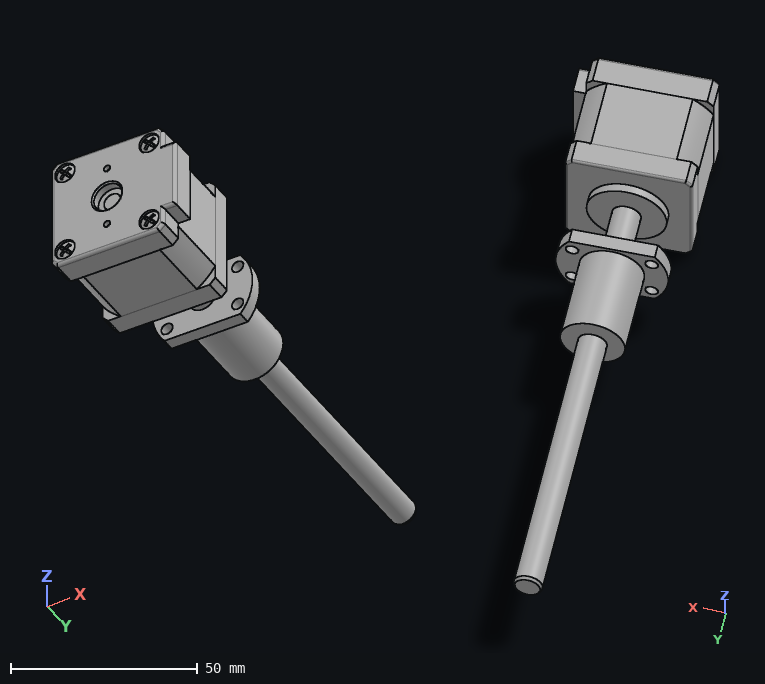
import cadquery as cq
import math


motor_width = 35.0
motor_length = 34.5
cover_length = 8.0
front_cap_length = 6.7
cover_corner_chamfer = 1.8
core_corner_radius = 21.0
rear_edge_round = 1.0
front_edge_round = 0.6
pilot_radius = 11.0
pilot_height = 2.4

tab_overhang = 3.7
tab_width = 21.4

rear_bore_radius = 4.3
rear_bore_depth = 2.9
rear_bore_chamfer = 0.5
small_hole_radius = 1.0
small_hole_depth = 1.6
small_hole_offset = 9.4

screw_offset = 13.0
screw_head_radius = 3.0
screw_head_height = 2.4
screw_dome_rise = 0.8
cross_length = 3.8
cross_width = 0.8
cross_depth = 1.3
cross_angle = 45

rod_radius = 4.0
rod_end = 159.6
rod_chamfer_length = 1.0
rod_chamfer_height = 0.5
journal_radius = 2.5

nut_start = 51.0
nut_length = 28.0
nut_radius = 9.0
flange_thickness = 4.0
flange_radius = 15.5
flange_height = 20.1
flange_hole_radius = 1.8
flange_hole_circle = 12.6
flange_hole_angle = 30

screw_places = [(z, x) for z in (-screw_offset, screw_offset) for x in (-screw_offset, screw_offset)]
tab_reach = motor_width / 2 + tab_overhang
core_end = motor_length - front_cap_length


def along_y(start):
    """Workplane at Y = start whose extrusions run toward +Y; its local axes are Z and X."""
    return cq.Workplane("ZX", origin=(0, start, 0))


def disc(radius, start, end):
    return along_y(start).circle(radius).extrude(end - start)


def square_block(start, end):
    return along_y(start).rect(motor_width, motor_width).extrude(end - start)


def cap(start, end):
    """Square end cap with chamfered corners."""
    return square_block(start, end).edges("|Y").chamfer(cover_corner_chamfer)


def make_rear_cover():
    tab = (
        along_y(0)
        .center(0, tab_reach / 2)
        .rect(tab_width, tab_reach)
        .extrude(cover_length)
    )
    cover = cap(0, cover_length).union(tab)
    cover = cover.faces("<Y").edges().fillet(rear_edge_round)
    bore = disc(rear_bore_radius, 0, rear_bore_depth)
    journal_hole = disc(journal_radius, rear_bore_depth, cover_length)
    cover = cover.cut(bore).cut(journal_hole)
    cover = cover.faces("<Y").edges("%CIRCLE").chamfer(rear_bore_chamfer)
    small_holes = (
        along_y(0)
        .pushPoints([(-small_hole_offset, 0), (small_hole_offset, 0)])
        .circle(small_hole_radius)
        .extrude(small_hole_depth)
    )
    screw_pockets = along_y(0).pushPoints(screw_places).circle(screw_head_radius).extrude(screw_head_height)
    return cover.cut(small_holes).cut(screw_pockets)


def make_motor_body():
    """Stator with the front cap and its pilot ring."""
    core = square_block(cover_length, core_end)
    core = core.intersect(disc(core_corner_radius, cover_length, core_end))
    front_cap = cap(core_end, motor_length).faces(">Y").edges().fillet(front_edge_round)
    pilot = disc(pilot_radius, motor_length, motor_length + pilot_height)
    front_cap = front_cap.union(pilot).cut(disc(rod_radius, core_end, motor_length + pilot_height))
    core = core.cut(disc(journal_radius, cover_length, core_end))
    return core.union(front_cap, clean=False)


def make_cap_screw(z, x):
    """Domed screw head with a diagonal cross recess."""
    dome_radius = (screw_head_radius**2 + screw_dome_rise**2) / (2 * screw_dome_rise)
    dome = cq.Workplane("XY").sphere(dome_radius).translate((0, dome_radius, 0))
    head = disc(screw_head_radius, 0, screw_head_height).intersect(dome)
    cross = (
        along_y(0)
        .rect(cross_length, cross_width)
        .extrude(cross_depth)
        .union(along_y(0).rect(cross_width, cross_length).extrude(cross_depth))
        .rotate((0, 0, 0), (0, 1, 0), cross_angle)
    )
    return head.cut(cross).translate((x, 0, z))


def make_lead_screw():
    """Rod whose thinner journal runs back through the motor to the floor of the rear bore."""
    journal = disc(journal_radius, rear_bore_depth, core_end)
    rod = disc(rod_radius, core_end, rod_end - rod_chamfer_length)
    tip_taper = math.degrees(math.atan2(rod_chamfer_height, rod_chamfer_length))
    tip = along_y(rod_end - rod_chamfer_length).circle(rod_radius).extrude(rod_chamfer_length, taper=tip_taper)
    return journal.union(rod).union(tip)


def make_nut():
    """Round nut with a flange that has two flats and four holes."""
    nut_end = nut_start + nut_length
    flange_end = nut_start + flange_thickness
    flange = disc(flange_radius, nut_start, flange_end).intersect(
        along_y(nut_start).rect(flange_height, 2 * flange_radius).extrude(flange_thickness)
    )
    reach_x = flange_hole_circle * math.cos(math.radians(flange_hole_angle))
    reach_z = flange_hole_circle * math.sin(math.radians(flange_hole_angle))
    holes = (
        along_y(nut_start)
        .rect(2 * reach_z, 2 * reach_x, forConstruction=True)
        .vertices()
        .circle(flange_hole_radius)
        .extrude(flange_thickness)
    )
    barrel = disc(nut_radius, nut_start, nut_end)
    return flange.cut(holes).union(barrel).cut(disc(rod_radius, nut_start, nut_end))


rear_cover = make_rear_cover()
motor_body = make_motor_body()
lead_screw = make_lead_screw()
nut = make_nut()
cap_screws = [make_cap_screw(z, x) for z, x in screw_places]

result = cq.Compound.makeCompound([
    rear_cover.val(),
    motor_body.val(),
    lead_screw.val(),
    nut.val(),
    *[screw.val() for screw in cap_screws],
])